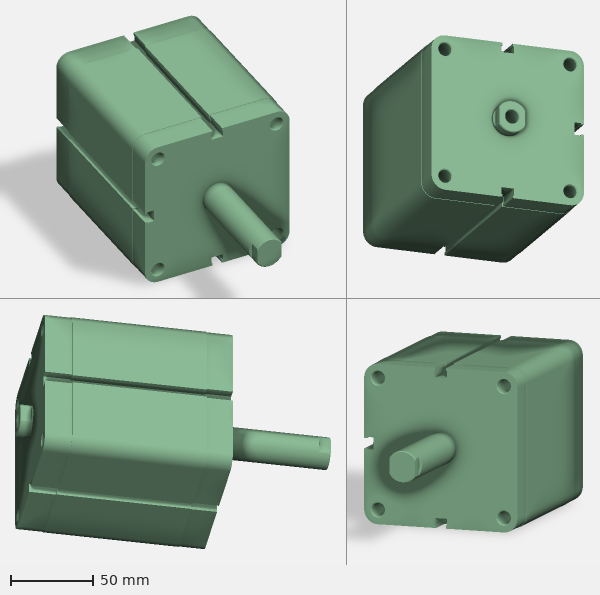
import cadquery as cq
import math

rod_start = -96.2
rod_length = 192.5
rod_end = rod_start + rod_length
left_cap_start = rod_start + 7.7
left_cap_length = 16.7
tube_start = left_cap_start + left_cap_length
tube_length = 83.5
right_cap_start = tube_start + tube_length
right_cap_length = 16.2

tube_width = 100.0
cap_width = 99.3
corner_offset = 40.8
screw_hole_diameter = 8.3
screw_hole_chamfer = 0.5

slot_floor = 43.5
slot_angles = (0, 90, 180)
tube_mouth_width = 5.2
tube_groove_width = 6.5
tube_groove_top = 47.2
cap_mouth_width = 6.5
cap_groove_width = 7.9
cap_groove_top = 48.0

rod_diameter = 20.0
rod_end_chamfer = 0.5
flat_spacing = 16.7
left_flat_length = 6.5
right_flat_length = 7.0
flat_runout = 0.5
rod_hole_diameter = 8.7
rod_hole_chamfer = 0.5
rod_hole_depth = 19.2
drill_point_angle = 118

bore_chamfer = 0.5


def x_cylinder(diameter, start, length):
    """Solid cylinder on the rod axis."""
    return cq.Workplane("YZ", origin=(start, 0, 0)).circle(diameter / 2).extrude(length)


def x_cone(diameter, start, length):
    """Cone on the rod axis that narrows to a point toward +X."""
    base_centre = cq.Vector(start, 0, 0)
    return cq.Workplane(cq.Solid.makeCone(diameter / 2, 0, length, base_centre, cq.Vector(1, 0, 0)))


def channel(start, length, width, top):
    """Straight cutter that rises from the slot floor to the height top."""
    height = top - slot_floor
    section = cq.Workplane("YZ", origin=(start, 0, slot_floor + height / 2))
    return section.rect(width, height).extrude(length)


def sensor_slot(start, length, width, mouth_width, groove_width, groove_top):
    """Cutter for a stepped slot in the +Z side of a block of the given width."""
    mouth = channel(start, length, mouth_width, width / 2)
    groove = channel(start, length, groove_width, groove_top)
    return mouth.union(groove)


def square_section(start, length, width, mouth_width, groove_width, groove_top):
    """Rounded square block with corner screw holes, rod bore and sensor slots."""
    block = (
        cq.Workplane("YZ", origin=(start, 0, 0))
        .rect(width, width)
        .extrude(length)
        .edges("|X")
        .fillet(width / 2 - corner_offset)
    )
    screw_holes = (
        cq.Workplane("YZ", origin=(start, 0, 0))
        .rect(2 * corner_offset, 2 * corner_offset, forConstruction=True)
        .vertices()
        .circle(screw_hole_diameter / 2)
        .extrude(length)
    )
    block = block.cut(screw_holes).cut(x_cylinder(rod_diameter, start, length))
    slot = sensor_slot(start, length, width, mouth_width, groove_width, groove_top)
    for angle in slot_angles:
        block = block.cut(slot.rotate((0, 0, 0), (1, 0, 0), angle))
    return block


def end_cap(start, length, outer_face):
    """Cap with chamfered screw holes; outer_face selects its exposed end."""
    cap = square_section(start, length, cap_width, cap_mouth_width, cap_groove_width, cap_groove_top)
    screw_hole_edges = cq.selectors.RadiusNthSelector(0)
    return cap.faces(outer_face).edges("%CIRCLE").edges(screw_hole_edges).chamfer(screw_hole_chamfer)


def make_left_cap():
    """Cap whose outer face has a chamfer around the rod bore."""
    mouth_diameter = rod_diameter + 2 * bore_chamfer
    chamfer = x_cone(mouth_diameter, left_cap_start, mouth_diameter / 2)
    return end_cap(left_cap_start, left_cap_length, "<X").cut(chamfer)


def make_right_cap():
    """Cap with a plain rod bore."""
    return end_cap(right_cap_start, right_cap_length, ">X")


def make_tube():
    """Middle section, slightly wider than the caps and with narrower slots."""
    return square_section(
        tube_start, tube_length, tube_width, tube_mouth_width, tube_groove_width, tube_groove_top
    )


def wrench_flats(end, flat_length, inward):
    """Cutters for two opposite flats; inward is +1 or -1, the X direction into the rod."""
    radius = rod_diameter / 2
    flat_stop = end + inward * flat_length
    profile = [
        (end, flat_spacing / 2),
        (flat_stop, flat_spacing / 2),
        (flat_stop + inward * flat_runout, radius),
        (end, radius),
    ]
    cutter = cq.Workplane("XY").polyline(profile).close().extrude(radius, both=True)
    return cutter.union(cutter.mirror("XZ"))


def make_rod():
    """Rod with wrench flats at both ends and a drilled hole in the left end."""
    rod = x_cylinder(rod_diameter, rod_start, rod_length).faces("<X or >X").chamfer(rod_end_chamfer)
    rod = rod.cut(wrench_flats(rod_start, left_flat_length, 1))
    rod = rod.cut(wrench_flats(rod_end, right_flat_length, -1))

    mouth_diameter = rod_hole_diameter + 2 * rod_hole_chamfer
    point_length = rod_hole_diameter / 2 / math.tan(math.radians(drill_point_angle / 2))
    rod = rod.cut(x_cylinder(rod_hole_diameter, rod_start, rod_hole_depth))
    rod = rod.cut(x_cone(rod_hole_diameter, rod_start + rod_hole_depth, point_length))
    return rod.cut(x_cone(mouth_diameter, rod_start, mouth_diameter / 2))


left_cap = make_left_cap()
tube = make_tube()
right_cap = make_right_cap()
rod = make_rod()

result = cq.Compound.makeCompound([left_cap.val(), tube.val(), right_cap.val(), rod.val()])